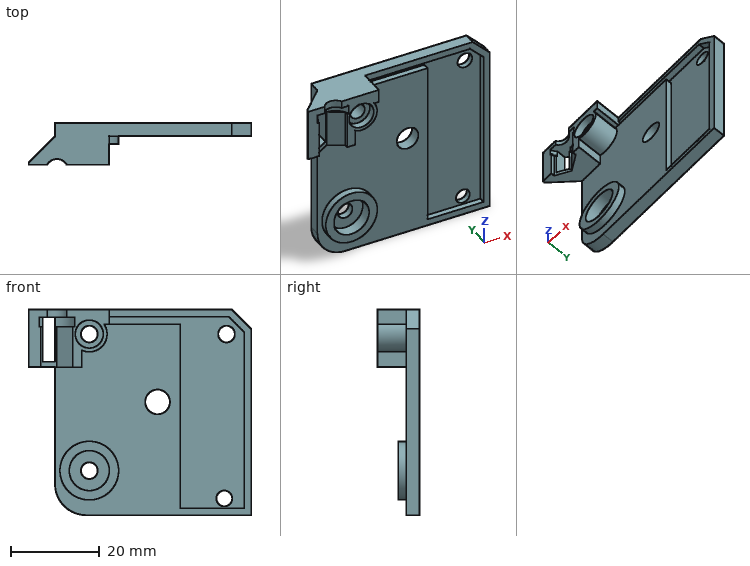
import cadquery as cq
import math


plate_width = 44.2
plate_height = 46.3
plate_thickness = 3.0
corner_radius = 7.1
corner_chamfer = 4.4

rim = 1.65
pocket_depth = 1.5
pocket_left = 28.2
pocket_arm_height = 1.65

block_front = 9.45
block_overhang = 5.9
block_height = 13.0
block_leg_right = 6.1
block_arm_right = 12.2
block_arm_bottom = plate_height - rim - pocket_arm_height

rod_x = 0.48
rod_axis_depth = block_front + 1.2
rod_radius = 2.5
nut_across_flats = 7.2
nut_corner_radius = nut_across_flats / math.sqrt(3)
nut_seat_top = plate_height - 1.8
nut_relief_height = 2.15

window_left = -2.7
window_height = 9.95

boss_x = 7.75
screw_hole_diameter = 3.7
upper_boss_z = 40.75
upper_boss_diameter = 8.0
upper_bore_diameter = 6.3
upper_bore_floor = 7.6
lower_boss_z = 10.05
lower_boss_diameter = 13.2
lower_boss_front = plate_thickness + 1.8
lower_bore_diameter = 9.0
lower_bore_floor = 1.85

plain_holes = [
    (23.1, 25.5, 5.5),
    (38.6, upper_boss_z, 3.7),
    (38.1, 3.8, 3.5),
]


def extrude_forward(outline, start, end):
    """Extrude an XZ outline from depth start to depth end."""
    return outline.extrude(end - start).translate((0, -start, 0))


def box(left, right, bottom, top, start, end):
    """Box between two X, two Z and two depth limits."""
    outline = cq.Workplane("XZ").moveTo(left, bottom).lineTo(right, bottom)
    outline = outline.lineTo(right, top).lineTo(left, top).close()
    return extrude_forward(outline, start, end)


def cylinder(x, z, diameter, start, end):
    """Cylinder along Y between two depths."""
    return extrude_forward(cq.Workplane("XZ").center(x, z).circle(diameter / 2), start, end)


def make_plate():
    plate = box(0, plate_width, 0, plate_height, 0, plate_thickness)
    plate = plate.edges("|Y and <X and <Z").fillet(corner_radius)
    return plate.edges("|Y and >X and >Z").chamfer(corner_chamfer)


def make_pocket():
    right = plate_width - rim
    top = plate_height - rim
    chamfer = corner_chamfer - rim * (2 - math.sqrt(2))
    outline = (
        cq.Workplane("XZ")
        .moveTo(pocket_left, rim)
        .lineTo(right, rim)
        .lineTo(right, top - chamfer)
        .lineTo(right - chamfer, top)
        .lineTo(block_arm_right, top)
        .lineTo(block_arm_right, block_arm_bottom)
        .lineTo(pocket_left, block_arm_bottom)
        .close()
    )
    return extrude_forward(outline, plate_thickness - pocket_depth, plate_thickness)


def make_block():
    """Block with a 45 degree back on its overhang, and the short arm above the upper boss."""
    bottom = plate_height - block_height
    body = (
        cq.Workplane("XY")
        .workplane(offset=bottom)
        .moveTo(0, -plate_thickness)
        .lineTo(-block_overhang, -plate_thickness - block_overhang)
        .lineTo(-block_overhang, -block_front)
        .lineTo(block_leg_right, -block_front)
        .lineTo(block_leg_right, -plate_thickness)
        .close()
        .extrude(block_height)
    )
    arm = box(0, block_arm_right, block_arm_bottom, plate_height, plate_thickness, block_front)
    return body.union(arm)


def make_rod_and_nut_seat():
    bottom = plate_height - block_height
    relief_bottom = nut_seat_top - nut_relief_height

    def at_height(z):
        return cq.Workplane("XY").workplane(offset=z).center(rod_x, -rod_axis_depth)

    rod = at_height(nut_seat_top).circle(rod_radius).extrude(plate_height - nut_seat_top)
    relief = at_height(relief_bottom).circle(nut_corner_radius).extrude(nut_relief_height)
    nut = (
        at_height(bottom)
        .transformed(rotate=(0, 0, 90))
        .polygon(6, 2 * nut_corner_radius)
        .extrude(nut_seat_top - bottom)
    )
    return rod.union(relief).union(nut)


def make_window():
    return box(window_left, 0, nut_seat_top - window_height, nut_seat_top, 0, block_front)


def add_boss(part, z, diameter, front):
    return part.union(cylinder(boss_x, z, diameter, plate_thickness, front))


def cut_screw_hole(part, z, bore_diameter, bore_floor):
    """Through hole with a counterbore open to the front."""
    part = part.cut(cylinder(boss_x, z, screw_hole_diameter, 0, block_front))
    return part.cut(cylinder(boss_x, z, bore_diameter, bore_floor, block_front))


result = make_plate().cut(make_pocket()).union(make_block())
result = add_boss(result, upper_boss_z, upper_boss_diameter, block_front)
result = add_boss(result, lower_boss_z, lower_boss_diameter, lower_boss_front)
result = result.cut(make_rod_and_nut_seat()).cut(make_window())
result = cut_screw_hole(result, upper_boss_z, upper_bore_diameter, upper_bore_floor)
result = cut_screw_hole(result, lower_boss_z, lower_bore_diameter, lower_bore_floor)
for hole_x, hole_z, hole_diameter in plain_holes:
    result = result.cut(cylinder(hole_x, hole_z, hole_diameter, 0, plate_thickness))